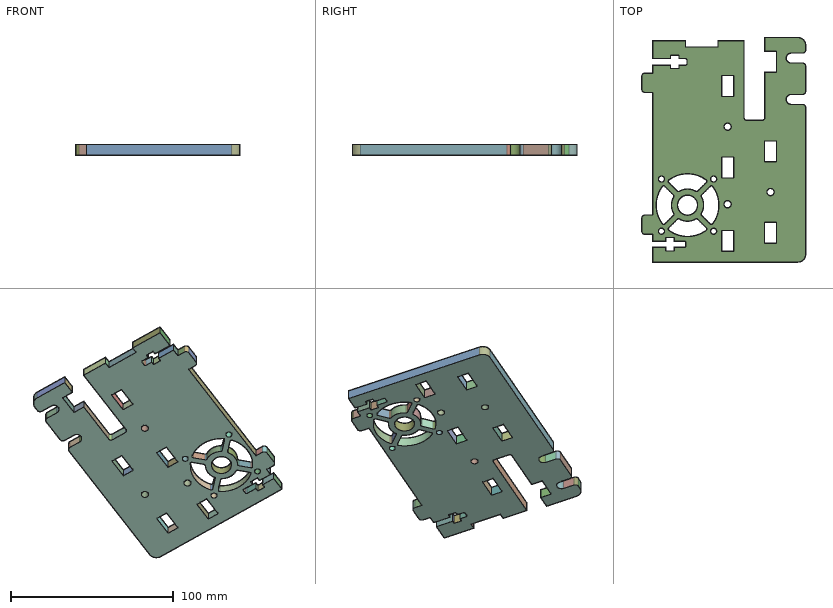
import cadquery as cq
import math

thickness = 6.8
tab_projection = 6.8
overall_width = 100.7
body_width = overall_width - tab_projection
height = 138.0
left_height = 136.0
corner_radius = 5.0
soft_radius = 2.1

tab_height = 12.0
tab_centers_y = [23.0, 110.1]

notch_left = 20.1
notch_width = 19.9
notch_depth = 3.9

long_slot_left = 56.2
long_slot_right = 68.7
long_slot_bottom = 87.2
long_slot_radius = 1.4

window_width = 7.2
window_height = 12.7
left_window_x = 46.1
left_windows_y = [13.1, 58.1, 108.2]
right_window_x = long_slot_right + window_width / 2
right_windows_y = [18.1, 68.0, 123.1]

cable_slot_width = 6.0
cable_slot_end = 82.0
cable_slots_y = [99.9, 125.3]

nut_thickness = 5.0
nut_width = 8.0
lower_bolt_y = 11.0
lower_bolt_length = 20.3
lower_bolt_width = 3.6
lower_bolt_end_radius = 0.5
lower_nut_x = 10.6
upper_bolt_y = 123.0
upper_bolt_length = 21.0
upper_bolt_width = 3.9
upper_nut_x = 13.5
upper_bolt_end_radius = 0.8

fan_x = 21.4
fan_y = 35.0
fan_outer_radius = 19.2
fan_ring_radius = 10.0
fan_hub_hole_diameter = 12.1
fan_spoke_width = 3.5
fan_corner_radius = 1.0
fan_screw_spacing = 32.0
fan_screw_diameter = 3.6

mount_hole_diameter = 4.3
mount_holes = [(46.0, 35.6), (46.0, 83.2), (72.3, 43.0)]


def box(left, right, bottom, top):
    """Block through the full plate thickness."""
    block = cq.Workplane("XY").box(right - left, top - bottom, thickness, centered=False)
    return block.translate((left, bottom, 0))


def centered_box(x, y, width, depth):
    return box(x - width / 2, x + width / 2, y - depth / 2, y + depth / 2)


def cylinder(x, y, radius):
    return cq.Workplane("XY").center(x, y).circle(radius).extrude(thickness)


def make_body():
    body = box(0, body_width, 0, height).edges("|Z and >X").fillet(corner_radius)
    for y in tab_centers_y:
        tab = centered_box(0, y, 2 * tab_projection, tab_height)
        body = body.union(tab.edges("|Z and <X").fillet(soft_radius))
    return body


def make_top_cutouts():
    step = box(0, long_slot_left, left_height, height)
    notch = box(notch_left, notch_left + notch_width, left_height - notch_depth, height)
    long_slot = box(long_slot_left, long_slot_right, long_slot_bottom, height)
    long_slot = long_slot.edges("|Z and <Y").fillet(long_slot_radius)
    return step.union(notch).union(long_slot)


def make_windows():
    windows = cq.Workplane("XY")
    for x, rows in ((left_window_x, left_windows_y), (right_window_x, right_windows_y)):
        for y in rows:
            windows = windows.add(centered_box(x, y, window_width, window_height))
    return windows.combine()


def make_cable_slot(y):
    """Slot with a semicircular inner end and a mouth that flares out in two arcs."""
    half = cable_slot_width / 2
    arc_offset = soft_radius * (1 - math.sqrt(0.5))
    mouth_start = body_width - soft_radius
    mouth_mid = body_width - arc_offset
    return (
        cq.Workplane("XY")
        .moveTo(mouth_start, y + half)
        .lineTo(cable_slot_end + half, y + half)
        .threePointArc((cable_slot_end, y), (cable_slot_end + half, y - half))
        .lineTo(mouth_start, y - half)
        .threePointArc((mouth_mid, y - half - arc_offset), (body_width, y - half - soft_radius))
        .lineTo(body_width, y + half + soft_radius)
        .threePointArc((mouth_mid, y + half + arc_offset), (mouth_start, y + half))
        .close()
        .extrude(thickness)
    )


def make_bolt_slot(y, length, width, end_radius, nut_x):
    """Slot with softened inner corners, crossed by a pocket that holds the nut."""
    slot = box(0, length, y - width / 2, y + width / 2)
    slot = slot.edges("|Z and >X").fillet(end_radius)
    return slot.union(centered_box(nut_x, y, nut_thickness, nut_width))


def make_fan_openings():
    """Four rounded ring sectors between diagonal spokes, a hub hole and four screw holes."""
    openings = cylinder(0, 0, fan_outer_radius).cut(cylinder(0, 0, fan_ring_radius))
    for angle in (45, 135):
        spoke = centered_box(0, 0, 2 * fan_outer_radius, fan_spoke_width)
        openings = openings.cut(spoke.rotate((0, 0, 0), (0, 0, 1), angle))
    openings = openings.edges("|Z").fillet(fan_corner_radius)
    openings = openings.union(cylinder(0, 0, fan_hub_hole_diameter / 2))
    for side_x in (-1, 1):
        for side_y in (-1, 1):
            x = side_x * fan_screw_spacing / 2
            y = side_y * fan_screw_spacing / 2
            openings = openings.union(cylinder(x, y, fan_screw_diameter / 2))
    return openings.translate((fan_x, fan_y, 0))


result = make_body().cut(make_top_cutouts()).cut(make_windows())
for slot_y in cable_slots_y:
    result = result.cut(make_cable_slot(slot_y))
result = result.cut(
    make_bolt_slot(lower_bolt_y, lower_bolt_length, lower_bolt_width, lower_bolt_end_radius, lower_nut_x)
)
result = result.cut(
    make_bolt_slot(upper_bolt_y, upper_bolt_length, upper_bolt_width, upper_bolt_end_radius, upper_nut_x)
)
result = result.cut(make_fan_openings())
for hole_x, hole_y in mount_holes:
    result = result.cut(cylinder(hole_x, hole_y, mount_hole_diameter / 2))